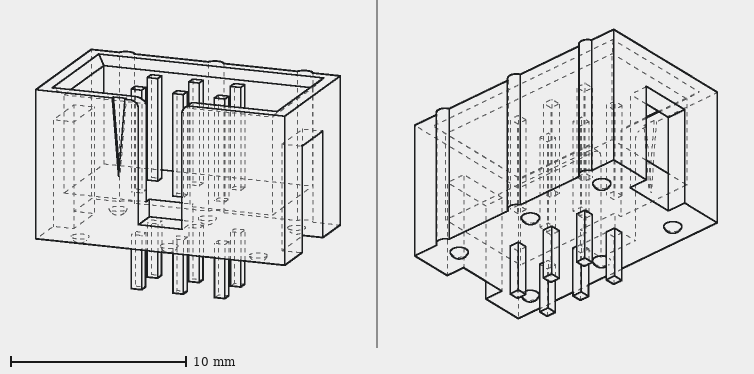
import cadquery as cq


length = 15.24
depth = 8.9
height = 8.87
wall = 1.25
floor_top = 2.53
rim_chamfer = 0.5

slot_width = 2.65
slot_bottom = 1.5
slot_reach = 1.75
slot_round = 0.5

window_width = 3.29
window_lintel = 2.53
window_top = height - window_lintel

marker_width = 0.78
marker_length = 4.62
marker_depth = 0.2

pin_pitch = 2.55
pin_size = 0.64
pin_tail = 3.25
pin_recess = 0.25
pin_top = height - pin_recess
pin_columns = 3
pin_rows = 2

rib_radius = 0.5
rib_projection = 0.32
dome_radius = 0.55
dome_projection = 0.37
bump_pitch = 5.45
bump_columns = 3
dome_edge_inset = 1.4

front_y = -depth / 2
back_y = depth / 2


def centred_positions(count, pitch):
    """Evenly spaced coordinates symmetric about zero."""
    return [(i - (count - 1) / 2) * pitch for i in range(count)]


def box_between(x_range, y_range, z_range):
    """Axis-aligned box given by its lower and upper limits."""
    (x0, x1), (y0, y1), (z0, z1) = x_range, y_range, z_range
    return cq.Workplane("XY").box(x1 - x0, y1 - y0, z1 - z0, centered=False).translate((x0, y0, z0))


def make_shell():
    """Open-topped box with a chamfer around the inner rim."""
    outer = cq.Workplane("XY").box(length, depth, height, centered=(True, True, False))
    cavity_length = length - 2 * wall
    cavity_depth = depth - 2 * wall
    opened = outer.faces(">Z").workplane().rect(cavity_length, cavity_depth).cutBlind(floor_top - height)
    lead_in = (
        cq.Workplane("XY", origin=(0, 0, height - rim_chamfer))
        .rect(cavity_length, cavity_depth)
        .workplane(offset=rim_chamfer)
        .rect(cavity_length + 2 * rim_chamfer, cavity_depth + 2 * rim_chamfer)
        .loft(ruled=True)
    )
    return opened.cut(lead_in)


def make_slot():
    """Key slot: notches the floor and flares out with rounded lips at the rim."""
    half = slot_width / 2
    shoulder = height - slot_round
    profile = (
        cq.Workplane("XZ", origin=(0, front_y, 0))
        .moveTo(-half, slot_bottom)
        .lineTo(half, slot_bottom)
        .lineTo(half, shoulder)
        .radiusArc((half + slot_round, height), slot_round)
        .lineTo(-half - slot_round, height)
        .radiusArc((-half, shoulder), slot_round)
        .close()
    )
    return profile.extrude(-slot_reach)


def make_windows():
    """Side wall openings that reach down to the underside, as deep as the wall."""
    across = (-window_width / 2, window_width / 2)
    up = (0, window_top)
    left = box_between((-length / 2, wall - length / 2), across, up)
    return left.union(left.mirror("YZ"))


def make_marker():
    """Shallow triangular notch in front of the first pin."""
    return (
        cq.Workplane("XZ", origin=(-pin_pitch, front_y, 0))
        .moveTo(-marker_width / 2, height)
        .lineTo(marker_width / 2, height)
        .lineTo(0, height - marker_length)
        .close()
        .extrude(-marker_depth)
    )


def make_pins():
    """Square pins that pass through the floor."""
    places = [
        (x, y)
        for x in centred_positions(pin_columns, pin_pitch)
        for y in centred_positions(pin_rows, pin_pitch)
    ]
    base = cq.Workplane("XY", origin=(0, 0, -pin_tail))
    return base.pushPoints(places).rect(pin_size, pin_size).extrude(pin_top + pin_tail)


def make_ribs():
    """Round full-height ribs partly sunk into the back wall."""
    centre_y = back_y + rib_projection - rib_radius
    places = [(x, centre_y) for x in centred_positions(bump_columns, bump_pitch)]
    return cq.Workplane("XY").pushPoints(places).circle(rib_radius).extrude(height)


def make_domes():
    """Spherical standoffs under the housing, in a front row and a back row."""
    row_y = back_y - dome_edge_inset
    centre_z = dome_radius - dome_projection
    places = [
        (x, y, centre_z)
        for x in centred_positions(bump_columns, bump_pitch)
        for y in (-row_y, row_y)
    ]
    return cq.Workplane("XY").pushPoints(places).sphere(dome_radius)


housing = make_shell().union(make_ribs()).union(make_domes())
housing = housing.cut(make_windows()).cut(make_slot()).cut(make_marker())
result = housing.union(make_pins())